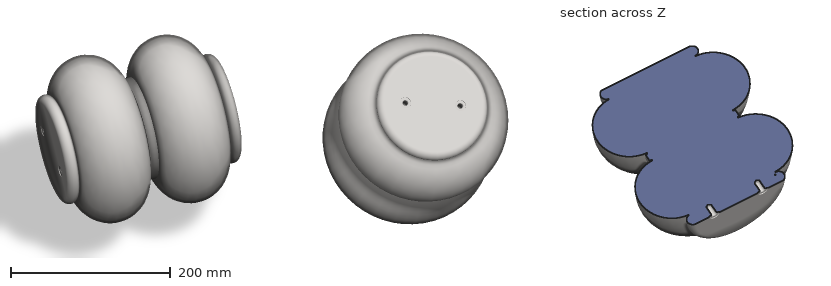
import cadquery as cq


total_length = 230.0
bellows_diameter = 214.8

end_face_diameter = 125.0
rim_height = 16.0

girdle_diameter = 131.0
girdle_height = 10.8
girdle_gap = 0.8

insert_spacing = 70.0
insert_diameter = 14.0
insert_recess = 1.0
hole_diameter = 6.65
hole_mouth_diameter = 8.0
hole_depth = 14.0
drill_tip_depth = 2.0

half_length = total_length / 2
end_radius = end_face_diameter / 2
rim_outer_radius = end_radius + rim_height / 2
rim_start = half_length - rim_height
rim_middle = half_length - rim_height / 2
bellows_start = girdle_height / 2 + girdle_gap
bellows_middle = (bellows_start + rim_start) / 2
bellows_radius = bellows_diameter / 2
girdle_radius = girdle_diameter / 2
girdle_edge = girdle_height / 2


def make_body():
    """Revolve the outline of the whole spring, from the -Y end to the +Y end."""
    outline = (
        cq.Workplane("XY")
        .moveTo(0, -half_length)
        .lineTo(end_radius, -half_length)
        .threePointArc((rim_outer_radius, -rim_middle), (end_radius, -rim_start))
        .threePointArc((bellows_radius, -bellows_middle), (end_radius, -bellows_start))
        .lineTo(end_radius, -girdle_edge)
        .lineTo(girdle_radius, -girdle_edge)
        .lineTo(girdle_radius, girdle_edge)
        .lineTo(end_radius, girdle_edge)
        .lineTo(end_radius, bellows_start)
        .threePointArc((bellows_radius, bellows_middle), (end_radius, rim_start))
        .threePointArc((rim_outer_radius, rim_middle), (end_radius, half_length))
        .lineTo(0, half_length)
        .close()
    )
    return outline.revolve(360, (0, 0, 0), (0, 1, 0))


def make_insert_cutter(x_position):
    """Shallow recess, chamfered mouth and drilled hole of one insert."""
    recess_radius = insert_diameter / 2
    mouth_radius = hole_mouth_diameter / 2
    hole_radius = hole_diameter / 2
    recess_floor = -half_length + insert_recess
    chamfer_end = recess_floor + mouth_radius - hole_radius
    hole_end = recess_floor + hole_depth
    outline = (
        cq.Workplane("XY")
        .moveTo(0, -half_length)
        .lineTo(recess_radius, -half_length)
        .lineTo(recess_radius, recess_floor)
        .lineTo(mouth_radius, recess_floor)
        .lineTo(hole_radius, chamfer_end)
        .lineTo(hole_radius, hole_end)
        .lineTo(0, hole_end + drill_tip_depth)
        .close()
    )
    return outline.revolve(360, (0, 0, 0), (0, 1, 0)).translate((x_position, 0, 0))


result = make_body()
for side in (-1, 1):
    result = result.cut(make_insert_cutter(side * insert_spacing / 2))